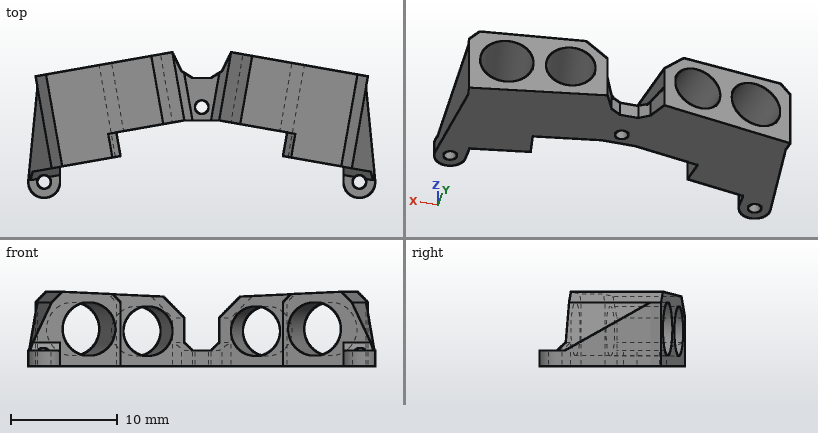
import cadquery as cq
import math


SPLAY_ANGLE = 10.0
BRIDGE_HALF_WIDTH = 1.625
BLOCK_LENGTH = 13.0
SHALLOW_DEPTH = 6.5
DEEP_DEPTH = 8.75
STEP_U = -6.45
OUTER_HEIGHT = 7.0
OUTER_CHAMFER = 1.0
INNER_HEIGHT = 6.55
INNER_CHAMFER = 2.0
STEP_EDGE_HEIGHT = OUTER_HEIGHT - OUTER_CHAMFER

SMALL_BORE = (4.65, -3.45, 3.3)
LARGE_BORE = (5.0, -9.45, 3.5)

PLATE_THICKNESS = 1.5
GUSSET_SIZE = 0.75
SCREW_HOLE_DIAMETER = 1.25
LUG_RADIUS = 1.5
LUG_X = -14.745
LUG_Y = -5.75
SIDE_STRIP_DEPTH = 1.0
BRIDGE_HOLE_Y = 1.25
BRIDGE_BACK_HALF_WIDTH = 0.88
BRIDGE_BACK_Y = 4.0
BRIDGE_KNEE_HALF_WIDTH = 1.88
BRIDGE_KNEE_Y = 4.63

CUT_MARGIN = 1.0

COS_SPLAY = math.cos(math.radians(SPLAY_ANGLE))
SIN_SPLAY = math.sin(math.radians(SPLAY_ANGLE))
BACK_CORNER_X = -BRIDGE_HALF_WIDTH - SHALLOW_DEPTH * SIN_SPLAY
BACK_CORNER_Y = SHALLOW_DEPTH * COS_SPLAY


def to_world(u, v):
    """World (x, y) of a point in the left block's frame."""
    x = BACK_CORNER_X + u * COS_SPLAY - v * SIN_SPLAY
    y = BACK_CORNER_Y + u * SIN_SPLAY + v * COS_SPLAY
    return x, y


def to_block(x, y):
    """Block frame (u, v) of a world point."""
    dx = x - BACK_CORNER_X
    dy = y - BACK_CORNER_Y
    return dx * COS_SPLAY + dy * SIN_SPLAY, dy * COS_SPLAY - dx * SIN_SPLAY


def place_block(shape):
    """Move a shape from the block frame into the world."""
    turned = shape.rotate((0, 0, 0), (0, 0, 1), SPLAY_ANGLE)
    return turned.translate((BACK_CORNER_X, BACK_CORNER_Y, 0))


def extrude_forward(profile, v_back, v_front):
    """Extrude a (u, z) profile from v_back towards the front at v_front."""
    plane = cq.Workplane("XZ", origin=(0, v_back, 0))
    return plane.polyline(profile).close().extrude(v_back - v_front)


def make_block():
    """Stepped block with a sloping top and chamfered long edges."""
    outer_top_u = OUTER_CHAMFER - BLOCK_LENGTH
    top_slope = (INNER_HEIGHT - OUTER_HEIGHT) / (-INNER_CHAMFER - outer_top_u)
    top_at_step = OUTER_HEIGHT + top_slope * (STEP_U - outer_top_u)
    step_chamfer = (top_at_step - STEP_EDGE_HEIGHT) / (1 + top_slope)

    outer_side = [
        (-BLOCK_LENGTH, 0),
        (-BLOCK_LENGTH, OUTER_HEIGHT - OUTER_CHAMFER),
        (outer_top_u, OUTER_HEIGHT),
    ]
    shallow_profile = outer_side + [
        (-INNER_CHAMFER, INNER_HEIGHT),
        (0, INNER_HEIGHT - INNER_CHAMFER),
        (0, 0),
    ]
    deep_profile = outer_side + [
        (STEP_U - step_chamfer, STEP_EDGE_HEIGHT + step_chamfer),
        (STEP_U, STEP_EDGE_HEIGHT),
        (STEP_U, 0),
    ]
    shallow = extrude_forward(shallow_profile, 0, -SHALLOW_DEPTH)
    deep = extrude_forward(deep_profile, -SHALLOW_DEPTH, -DEEP_DEPTH)
    return place_block(shallow.union(deep))


def make_bore(diameter, u, z):
    """Cutter for a bore running the full depth of the block."""
    plane = cq.Workplane("XZ", origin=(0, CUT_MARGIN, 0))
    bore = plane.center(u, z).circle(diameter / 2).extrude(DEEP_DEPTH + 2 * CUT_MARGIN)
    return place_block(bore)


def make_plate_slab():
    """Slab of plate thickness, wider than the part, that limits the thin plates."""
    size = 4 * BLOCK_LENGTH
    return cq.Workplane("XY").box(size, size, PLATE_THICKNESS, centered=(True, True, False))


def make_lug():
    """Screw lug, with the side web and front gusset that tie it to the block."""
    start_x, start_y = to_world(-BLOCK_LENGTH, -SIDE_STRIP_DEPTH)
    to_start = math.atan2(start_y - LUG_Y, start_x - LUG_X)
    distance = math.hypot(start_x - LUG_X, start_y - LUG_Y)
    tangent_angle = to_start + math.acos(LUG_RADIUS / distance)
    tangent_x = LUG_X + LUG_RADIUS * math.cos(tangent_angle)
    tangent_y = LUG_Y + LUG_RADIUS * math.sin(tangent_angle)
    inner_x = LUG_X + LUG_RADIUS
    inner_v = to_block(inner_x, LUG_Y)[1]
    embed_y = LUG_Y + (CUT_MARGIN - DEEP_DEPTH - inner_v) / COS_SPLAY

    outline = (
        cq.Workplane("XY")
        .moveTo(start_x, start_y)
        .lineTo(tangent_x, tangent_y)
        .threePointArc((LUG_X, LUG_Y - LUG_RADIUS), (inner_x, LUG_Y))
        .lineTo(inner_x, embed_y)
        .close()
    )
    column = outline.extrude(OUTER_HEIGHT - OUTER_CHAMFER)

    inside_u = to_block(inner_x, embed_y)[0] + CUT_MARGIN

    tangent_u, tangent_v = to_block(tangent_x, tangent_y)
    fraction = (DEEP_DEPTH - SIDE_STRIP_DEPTH) / (-SIDE_STRIP_DEPTH - tangent_v)
    foot_u = -BLOCK_LENGTH + fraction * (tangent_u + BLOCK_LENGTH)
    slope_profile = [
        (inside_u, 0),
        (foot_u, 0),
        (foot_u, PLATE_THICKNESS),
        (-BLOCK_LENGTH, OUTER_HEIGHT - OUTER_CHAMFER),
        (inside_u, OUTER_HEIGHT - OUTER_CHAMFER),
    ]
    web = place_block(extrude_forward(slope_profile, 0, -DEEP_DEPTH))
    under_slope = place_block(extrude_forward(slope_profile, 0, -DEEP_DEPTH - GUSSET_SIZE))

    gusset_profile = [
        (-DEEP_DEPTH, 0),
        (-DEEP_DEPTH, PLATE_THICKNESS + GUSSET_SIZE),
        (-DEEP_DEPTH - GUSSET_SIZE, PLATE_THICKNESS),
        (-DEEP_DEPTH - GUSSET_SIZE, 0),
    ]
    gusset = (
        cq.Workplane("YZ", origin=(foot_u, 0, 0))
        .polyline(gusset_profile)
        .close()
        .extrude(inside_u - foot_u)
    )
    gusset = place_block(gusset).intersect(under_slope)

    return column.intersect(make_plate_slab().union(web).union(gusset))


def make_bridge():
    """Thin plate between the blocks, with a gusset along each block face."""
    half_outline = [
        (-BRIDGE_HALF_WIDTH, 0),
        (BACK_CORNER_X, BACK_CORNER_Y),
        (-BRIDGE_KNEE_HALF_WIDTH, BRIDGE_KNEE_Y),
        (-BRIDGE_BACK_HALF_WIDTH, BRIDGE_BACK_Y),
    ]
    mirrored_half = [(-x, y) for x, y in reversed(half_outline)]
    outline = cq.Workplane("XY").polyline(half_outline + mirrored_half).close()
    column = outline.extrude(PLATE_THICKNESS + GUSSET_SIZE)

    gusset_profile = [
        (0, 0),
        (0, PLATE_THICKNESS + GUSSET_SIZE),
        (GUSSET_SIZE, PLATE_THICKNESS),
        (GUSSET_SIZE, 0),
    ]
    gusset_front = -SHALLOW_DEPTH - CUT_MARGIN
    gusset = place_block(extrude_forward(gusset_profile, 0, gusset_front))
    both_gussets = gusset.union(gusset.mirror("YZ"))
    return column.intersect(make_plate_slab().union(both_gussets))


def make_screw_hole(x, y):
    """Vertical cutter for a screw hole."""
    return (
        cq.Workplane("XY")
        .center(x, y)
        .circle(SCREW_HOLE_DIAMETER / 2)
        .extrude(PLATE_THICKNESS + GUSSET_SIZE + CUT_MARGIN)
    )


left_half = make_block().union(make_lug())
for bore in (SMALL_BORE, LARGE_BORE):
    left_half = left_half.cut(make_bore(*bore))
left_half = left_half.cut(make_screw_hole(LUG_X, LUG_Y))

bridge = make_bridge().cut(make_screw_hole(0, BRIDGE_HOLE_Y))
result = left_half.union(bridge).union(left_half.mirror("YZ"))